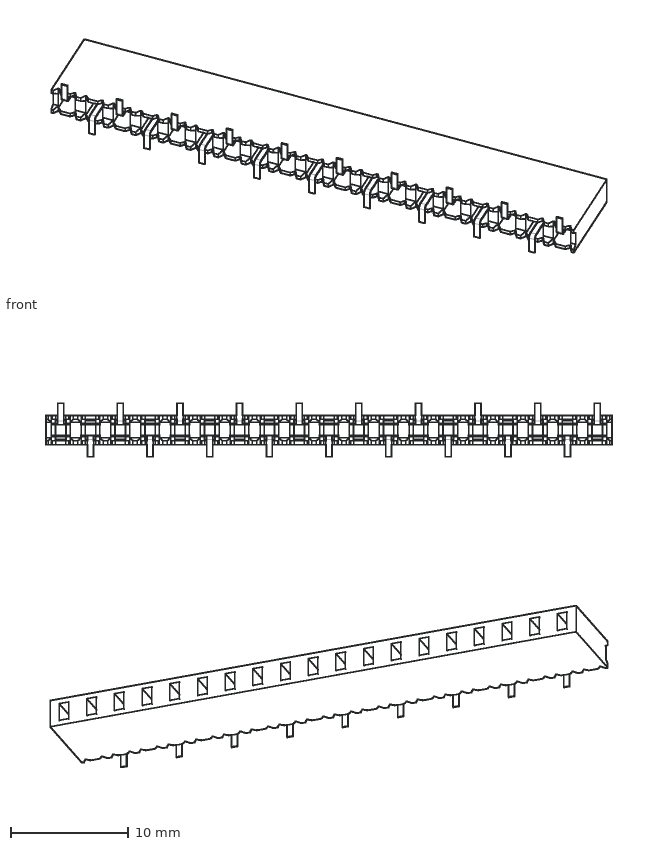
import cadquery as cq
import math

LENGTH = 48.25
CELL_COUNT = 19
PITCH = LENGTH / CELL_COUNT
TOTAL_DEPTH = 7.5
PIN_SPAN = 4.6
FRONT_Y = -TOTAL_DEPTH / 2
BACK_Y = TOTAL_DEPTH / 2

HOUSING_HEIGHT = 2.5
HALF_HEIGHT = HOUSING_HEIGHT / 2
FACE_SETBACK = 0.6
FACE_Y = FRONT_Y + FACE_SETBACK
POCKET_WIDTH = 1.6
POCKET_HEIGHT = 1.85
WALL_WIDTH = PITCH - POCKET_WIDTH
POCKET_DEPTH = 2.9
HOLE_WIDTH = 0.85
HOLE_HEIGHT = 1.6

TIP_Z = POCKET_HEIGHT / 2
CELL_TOOTH_REACH = 0.3
CELL_TOOTH_BASE = 1.4
CELL_TOOTH_TIP = HOLE_WIDTH
WALL_TOOTH_REACH = 0.45
WALL_TOOTH_TIP = 0.4
WALL_FACE_HEIGHT = 1.3

METAL = 0.12
PIN_WIDTH = 0.55
LEAF_Z = 0.45
LEAF_SETBACK = 1.45
LEAF_DEPTH = 0.95
BEND_RADIUS = 0.35
LEAF_FRONT_Y = FACE_Y + LEAF_SETBACK
END_WALL_WIDTH = WALL_WIDTH / 2
STRIP_HALF_LENGTH = (LENGTH - END_WALL_WIDTH) / 2

cell_centers = [(i + 0.5) * PITCH - LENGTH / 2 for i in range(CELL_COUNT)]
wall_centers = [i * PITCH - LENGTH / 2 for i in range(CELL_COUNT + 1)]


def block(x_min, x_max, y_min, y_max, z_min, z_max):
    """Axis-aligned box between the given limits."""
    size = (x_max - x_min, y_max - y_min, z_max - z_min)
    return cq.Workplane("XY").box(*size, centered=False).translate((x_min, y_min, z_min))


def tooth(center_x, reach, base_width, tip_width, base_z):
    """Upper tooth that narrows towards its tip; its underside runs from base_z up to TIP_Z."""
    tip_y = FACE_Y - reach
    plan = (
        cq.Workplane("XY")
        .polyline([
            (center_x - base_width / 2, FACE_Y),
            (center_x - tip_width / 2, tip_y),
            (center_x + tip_width / 2, tip_y),
            (center_x + base_width / 2, FACE_Y),
        ])
        .close()
        .extrude(HALF_HEIGHT)
    )
    side = (
        cq.Workplane("YZ", origin=(center_x - base_width / 2, 0, 0))
        .polyline([(FACE_Y, base_z), (tip_y, TIP_Z), (tip_y, HALF_HEIGHT), (FACE_Y, HALF_HEIGHT)])
        .close()
        .extrude(base_width)
    )
    return plan.intersect(side)


def upper_teeth():
    """All teeth of the top edge; the two end teeth are cut off at the housing ends."""
    teeth = [
        tooth(x, CELL_TOOTH_REACH, CELL_TOOTH_BASE, CELL_TOOTH_TIP, TIP_Z) for x in cell_centers
    ]
    teeth += [
        tooth(x, WALL_TOOTH_REACH, WALL_WIDTH, WALL_TOOTH_TIP, WALL_FACE_HEIGHT / 2) for x in wall_centers
    ]
    inside = block(-LENGTH / 2, LENGTH / 2, FRONT_Y, FACE_Y, 0, HALF_HEIGHT)
    return cq.Workplane(cq.Compound.makeCompound([t.val() for t in teeth])).intersect(inside)


def cell_opening(center_x):
    """Front pocket followed by a narrower hole through the back."""
    pocket = block(
        center_x - POCKET_WIDTH / 2, center_x + POCKET_WIDTH / 2,
        FACE_Y, FACE_Y + POCKET_DEPTH,
        -POCKET_HEIGHT / 2, POCKET_HEIGHT / 2,
    )
    hole = block(
        center_x - HOLE_WIDTH / 2, center_x + HOLE_WIDTH / 2,
        FACE_Y, BACK_Y,
        -HOLE_HEIGHT / 2, HOLE_HEIGHT / 2,
    )
    return pocket.union(hole)


def strip_loop():
    """Flat closed loop: an upper and a lower leaf strip joined inside the end walls."""
    outer_z = LEAF_Z + METAL
    outer_x = STRIP_HALF_LENGTH + METAL
    back_y = LEAF_FRONT_Y + LEAF_DEPTH
    outer = block(-outer_x, outer_x, LEAF_FRONT_Y, back_y, -outer_z, outer_z)
    inner = block(-STRIP_HALF_LENGTH, STRIP_HALF_LENGTH, LEAF_FRONT_Y, back_y, -LEAF_Z, LEAF_Z)
    return outer.cut(inner)


def pin(center_x):
    """Leg that runs forward from the upper leaf and bends up into a solder tail."""
    inner_radius = BEND_RADIUS - METAL
    bend_y = FRONT_Y + BEND_RADIUS
    bend_z = LEAF_Z + BEND_RADIUS
    tail_z = PIN_SPAN / 2
    outer_mid = BEND_RADIUS / math.sqrt(2)
    inner_mid = inner_radius / math.sqrt(2)
    return (
        cq.Workplane("YZ", origin=(center_x - PIN_WIDTH / 2, 0, 0))
        .moveTo(LEAF_FRONT_Y, LEAF_Z)
        .lineTo(bend_y, LEAF_Z)
        .threePointArc((bend_y - outer_mid, bend_z - outer_mid), (FRONT_Y, bend_z))
        .lineTo(FRONT_Y, tail_z)
        .lineTo(FRONT_Y + METAL, tail_z)
        .lineTo(FRONT_Y + METAL, bend_z)
        .threePointArc((bend_y - inner_mid, bend_z - inner_mid), (bend_y, LEAF_Z + METAL))
        .lineTo(LEAF_FRONT_Y, LEAF_Z + METAL)
        .close()
        .extrude(PIN_WIDTH)
    )


def make_contact_strip():
    """Leaf loop with pins that point up and down in turn."""
    strip = strip_loop()
    for index, x in enumerate(cell_centers):
        points_up = index % 2 == 0
        upper_pin = pin(x)
        strip = strip.union(upper_pin if points_up else upper_pin.mirror("XY"))
    return strip


def make_housing():
    """Toothed bar with one opening per cell and a seat for the contact strip."""
    teeth = upper_teeth()
    housing = block(-LENGTH / 2, LENGTH / 2, FACE_Y, BACK_Y, -HALF_HEIGHT, HALF_HEIGHT)
    housing = housing.union(teeth).union(teeth.mirror("XY"))
    for x in cell_centers:
        housing = housing.cut(cell_opening(x))
    return housing.cut(strip_loop())


housing = make_housing()
contact_strip = make_contact_strip()

result = cq.Compound.makeCompound([housing.solids().val(), contact_strip.solids().val()])